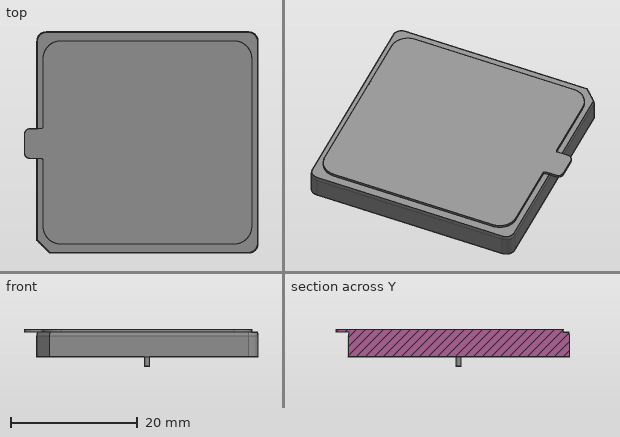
import cadquery as cq

body_side = 35.0
body_height = 3.9
corner_radius = 1.5
corner_cut = 2.05
bevel_height = 0.6
bevel_width = 0.1

film_length = 33.0
film_width = 32.1
film_thickness = 0.4
film_radius = 2.8

overall_length = 36.95
tab_width = 4.73
tab_center_y = -0.2
tab_tip_radius = 0.9
tab_root_radius = 0.3

pin_diameter = 0.8
pin_length = 1.5
pin_x = -0.07
pin_y = 4.73

body_half = body_side / 2
film_edge_x = -film_length / 2
tab_tip_x = body_half - overall_length
film_top = body_height + film_thickness


def make_body():
    """Square block with three round corners, one cut corner and a steep bevel around the top."""
    cut_end = corner_cut - body_half
    body = (
        cq.Workplane("XY")
        .moveTo(cut_end, -body_half)
        .lineTo(body_half, -body_half)
        .lineTo(body_half, body_half)
        .lineTo(-body_half, body_half)
        .lineTo(-body_half, cut_end)
        .close()
        .extrude(body_height)
    )
    square_corners = body.edges("|Z").edges(">X or >Y")
    body = square_corners.fillet(corner_radius)
    return body.faces(">Z").chamfer(bevel_height, bevel_width)


def make_film():
    """Thin rounded sheet on the body, with a pull tab overhanging the -X side."""
    sheet = (
        cq.Workplane("XY", origin=(0, 0, body_height))
        .rect(film_length, film_width)
        .extrude(film_thickness)
        .edges("|Z")
        .fillet(film_radius)
    )
    tab = (
        cq.Workplane("XY", origin=(tab_tip_x / 2, tab_center_y, body_height))
        .rect(-tab_tip_x, tab_width)
        .extrude(film_thickness)
        .edges("|Z and <X")
        .fillet(tab_tip_radius)
    )
    film = sheet.union(tab)
    tab_roots = cq.selectors.BoxSelector(
        (film_edge_x - tab_root_radius, tab_center_y - tab_width, body_height - film_thickness),
        (film_edge_x + tab_root_radius, tab_center_y + tab_width, film_top + film_thickness),
    )
    return film.edges("|Z").edges(tab_roots).fillet(tab_root_radius)


def make_pin():
    """Round pin hanging below the body, reaching up to its underside."""
    return cq.Workplane("XY", origin=(pin_x, pin_y, 0)).circle(pin_diameter / 2).extrude(-pin_length)


result = make_body().union(make_film()).union(make_pin())